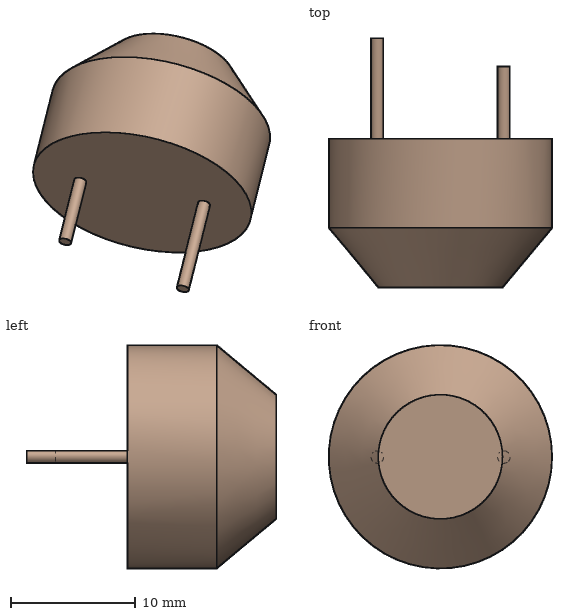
import cadquery as cq

body_diameter = 18.0
front_diameter = 10.0
body_length = 12.0
cone_length = 4.8

overall_length = 20.1
pin_diameter = 1.0
pin_spacing = 10.2
short_pin_length = 5.8
long_pin_length = overall_length - body_length


def make_body():
    """Revolve the half outline: a cone at the front, then a cylinder."""
    return (
        cq.Workplane("XY")
        .lineTo(front_diameter / 2, 0)
        .lineTo(body_diameter / 2, cone_length)
        .lineTo(body_diameter / 2, body_length)
        .lineTo(0, body_length)
        .close()
        .revolve(360, (0, 0, 0), (0, 1, 0))
    )


def make_pin(x, length):
    """Pin standing on the back face at the given X, pointing toward +Y."""
    base = cq.Vector(x, body_length, 0)
    return cq.Workplane(cq.Solid.makeCylinder(pin_diameter / 2, length, base, cq.Vector(0, 1, 0)))


result = (
    make_body()
    .union(make_pin(-pin_spacing / 2, long_pin_length))
    .union(make_pin(pin_spacing / 2, short_pin_length))
)